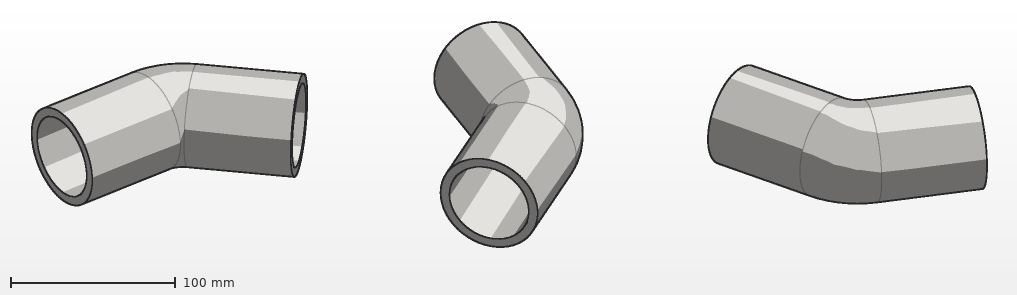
import cadquery as cq
import math

overall_length = 158.8
outer_diameter = 63.0
bore_diameter = 51.5
bend_angle = 45.0
inside_bend_radius = 2.9

bend_radius = outer_diameter / 2 + inside_bend_radius
bend_turn = math.radians(bend_angle)
bend_rise = (bend_radius + outer_diameter / 2) * math.sin(bend_turn)
leg_length = (overall_length - bend_rise) / (1 + math.cos(bend_turn))


def pipe_ring(plane):
    """Ring-shaped pipe cross-section on the given plane."""
    return cq.Workplane(plane).circle(outer_diameter / 2).circle(bore_diameter / 2)


start_plane = cq.Plane(origin=(0, 0, 0), xDir=(1, 0, 0), normal=(0, 1, 0))
straight_leg = pipe_ring(start_plane).extrude(leg_length)

bend_plane = cq.Plane(origin=(0, leg_length, 0), xDir=(1, 0, 0), normal=(0, 1, 0))
bend = pipe_ring(bend_plane).revolve(bend_angle, (bend_radius, 0), (bend_radius, 1))

angled_plane = cq.Plane(
    origin=(
        bend_radius * (1 - math.cos(bend_turn)),
        leg_length + bend_radius * math.sin(bend_turn),
        0,
    ),
    xDir=(math.cos(bend_turn), -math.sin(bend_turn), 0),
    normal=(math.sin(bend_turn), math.cos(bend_turn), 0),
)
angled_leg = pipe_ring(angled_plane).extrude(leg_length)

result = straight_leg.union(bend).union(angled_leg)